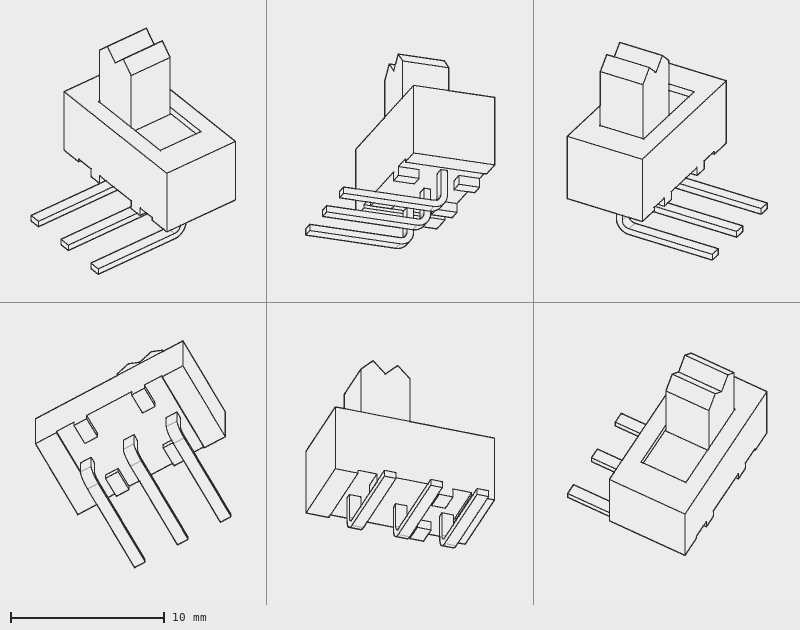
import cadquery as cq

HOUSING_LENGTH = 11.0
HOUSING_WIDTH = 5.62
HOUSING_HEIGHT = 4.8
FOOT_LENGTH = 1.58
UNDERSIDE_RELIEF = 0.22

TAB_LENGTH = 0.95
TAB_WIDTH = 1.44
TAB_DROP = 0.4
TAB_OFFSET_X = 2.15

SLOT_LENGTH = 6.6
SLOT_WIDTH = 3.32
SLOT_DEPTH = 0.5
KNOB_LENGTH = 3.4
KNOB_WIDTH = 3.2
KNOB_RISE = 5.0
TOOTH_COUNT = 2

PIN_COUNT = 3
PIN_PITCH = 3.2
PIN_WIDTH = 0.8
PIN_THICKNESS = 0.45
PIN_DROP = 2.7
PIN_INNER_RADIUS = 0.5
PIN_REACH = 6.96


def make_shell():
    """Housing block with its underside relieved between the end feet."""
    block = cq.Workplane("XY").box(
        HOUSING_LENGTH, HOUSING_WIDTH, HOUSING_HEIGHT, centered=(True, True, False)
    )
    relief = cq.Workplane("XY").box(
        HOUSING_LENGTH - 2 * FOOT_LENGTH, HOUSING_WIDTH, UNDERSIDE_RELIEF,
        centered=(True, True, False),
    )
    slot = (
        cq.Workplane("XY", origin=(0, 0, HOUSING_HEIGHT - SLOT_DEPTH))
        .rect(SLOT_LENGTH, SLOT_WIDTH)
        .extrude(SLOT_DEPTH)
    )
    return block.cut(relief).cut(slot)


def make_tabs():
    """Four tabs, flush with the long sides and reaching below the feet."""
    tab_offset_y = (HOUSING_WIDTH - TAB_WIDTH) / 2
    return (
        cq.Workplane("XY", origin=(0, 0, -TAB_DROP))
        .rect(2 * TAB_OFFSET_X, 2 * tab_offset_y, forConstruction=True)
        .vertices()
        .rect(TAB_LENGTH, TAB_WIDTH)
        .extrude(TAB_DROP + UNDERSIDE_RELIEF)
    )


def make_knob():
    """Knob rising from the slot floor, topped by 45-degree teeth."""
    left = -SLOT_LENGTH / 2
    floor = HOUSING_HEIGHT - SLOT_DEPTH
    peak = HOUSING_HEIGHT + KNOB_RISE
    tooth_length = KNOB_LENGTH / TOOTH_COUNT
    valley = peak - tooth_length / 2
    outline = [(left, floor), (left, valley)]
    for tooth in range(TOOTH_COUNT):
        start = left + tooth * tooth_length
        outline.append((start + tooth_length / 2, peak))
        outline.append((start + tooth_length, valley))
    outline.append((left + KNOB_LENGTH, floor))
    return cq.Workplane("XZ").polyline(outline).close().extrude(KNOB_WIDTH / 2, both=True)


def make_housing():
    """Housing, tabs and knob as one solid."""
    return make_shell().union(make_tabs()).union(make_knob())


def make_pin(x):
    """L-shaped pin hanging from the foot plane and bent toward -Y."""
    back = PIN_THICKNESS / 2
    front = -back
    outer_radius = PIN_INNER_RADIUS + PIN_THICKNESS
    bend_y = front - PIN_INNER_RADIUS
    bend_z = -PIN_DROP + outer_radius
    return (
        cq.Workplane("YZ", origin=(x, 0, 0))
        .moveTo(back, 0)
        .lineTo(back, bend_z)
        .radiusArc((bend_y, -PIN_DROP), outer_radius)
        .lineTo(-PIN_REACH, -PIN_DROP)
        .lineTo(-PIN_REACH, -PIN_DROP + PIN_THICKNESS)
        .lineTo(bend_y, -PIN_DROP + PIN_THICKNESS)
        .radiusArc((front, bend_z), -PIN_INNER_RADIUS)
        .lineTo(front, 0)
        .close()
        .extrude(PIN_WIDTH / 2, both=True)
    )


housing = make_housing()
pins = [make_pin((i - (PIN_COUNT - 1) / 2) * PIN_PITCH) for i in range(PIN_COUNT)]
result = cq.Compound.makeCompound([housing.solids().val(), *[pin.val() for pin in pins]])